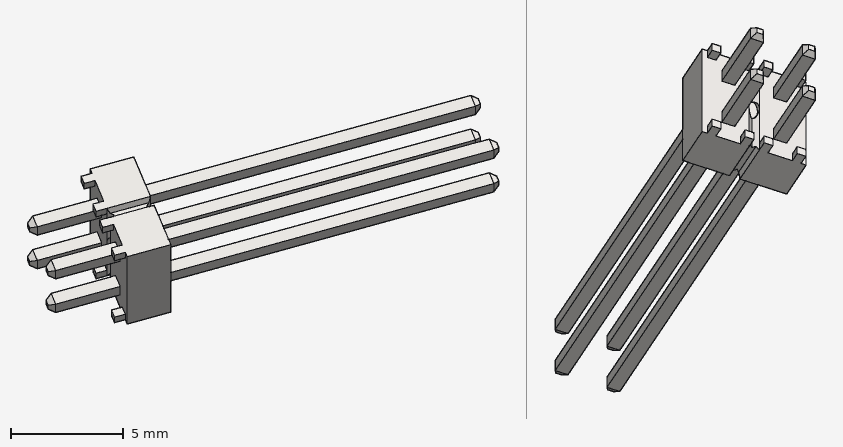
import cadquery as cq

width = 5.08
height = 5.08
depth = 2.05
overall_length = 21.08

groove_width = 0.5
groove_depth = groove_width / 2
slot_depth = 0.27
slot_floor_width = 0.27

pin_pitch = 2.53
pin_side = 0.63
pin_front_length = 3.3
tip_length = 0.3
tip_side = 0.3

foot_width = 0.42
foot_height = 0.42
foot_length = 0.5
foot_margin = 0.25

plug_width = groove_width
plug_height = 1.01
plug_recess = 0.21

front_face = pin_front_length
back_face = front_face + depth
mirror_signs = (-1, 1)


def block(x_center, z_center, x_size, z_size, y_start, y_end):
    """Box centred on X and Z that runs from y_start to y_end."""
    return cq.Workplane("XY").box(
        x_size, y_end - y_start, z_size
    ).translate((x_center, (y_start + y_end) / 2, z_center))


def v_groove(face, inward):
    """V groove over the full height of a face; inward is the Y direction into the housing."""
    half = groove_width / 2
    profile = [(-half, face), (half, face), (0, face + inward * groove_depth)]
    return cq.Workplane("XY").workplane(offset=-height / 2).polyline(profile).close().extrude(height)


def web_slot(side):
    """Tapered slot along Y that lowers the web; side is 1 for the top and -1 for the bottom."""
    outer = side * height / 2
    floor = side * (height / 2 - slot_depth)
    profile = [
        (-groove_width / 2, outer),
        (groove_width / 2, outer),
        (slot_floor_width / 2, floor),
        (-slot_floor_width / 2, floor),
    ]
    return cq.Workplane("XZ", origin=(0, front_face, 0)).polyline(profile).close().extrude(-depth)


def feet():
    """Standoff feet at the front corners of each half of the housing."""
    outer_x = width / 2 - foot_margin - foot_width / 2
    inner_x = groove_width / 2 + foot_width / 2
    foot_z = height / 2 - foot_height / 2
    return [
        block(x_side * x, z_side * foot_z, foot_width, foot_height, front_face - foot_length, front_face)
        for x_side in mirror_signs
        for z_side in mirror_signs
        for x in (outer_x, inner_x)
    ]


def pin_tip(x, z, base, direction):
    """Tapered pin end from the base position along Y; direction points to the tip."""
    return (
        cq.Workplane("XZ", origin=(x, base, z))
        .rect(pin_side, pin_side)
        .workplane(offset=-direction * tip_length)
        .rect(tip_side, tip_side)
        .loft(combine=True)
    )


def pin(x, z):
    """Square pin along Y, tapered at both ends."""
    front_base = tip_length
    back_base = overall_length - tip_length
    shaft = block(x, z, pin_side, pin_side, front_base, back_base)
    return shaft.union(pin_tip(x, z, front_base, -1)).union(pin_tip(x, z, back_base, 1))


def elliptical_prism(y_start, y_end):
    """Elliptical cylinder along Y at the centre of the web."""
    return (
        cq.Workplane("XZ", origin=(0, y_start, 0))
        .ellipse(plug_width / 2, plug_height / 2)
        .extrude(y_start - y_end)
    )


def make_header():
    """Housing with its feet and moulded-in pins, and the elliptical hole in the web."""
    header = block(0, 0, width, height, front_face, back_face)
    header = header.cut(v_groove(front_face, 1)).cut(v_groove(back_face, -1))
    for side in mirror_signs:
        header = header.cut(web_slot(side))
    for foot in feet():
        header = header.union(foot)
    for x_side in mirror_signs:
        for z_side in mirror_signs:
            header = header.union(pin(x_side * pin_pitch / 2, z_side * pin_pitch / 2))
    return header.cut(elliptical_prism(front_face, back_face))


def make_plug():
    """Elliptical plug, set back from the front and back faces of the housing."""
    return elliptical_prism(front_face + plug_recess, back_face - plug_recess)


header = make_header()
plug = make_plug()

result = cq.Compound.makeCompound([header.val(), plug.val()])